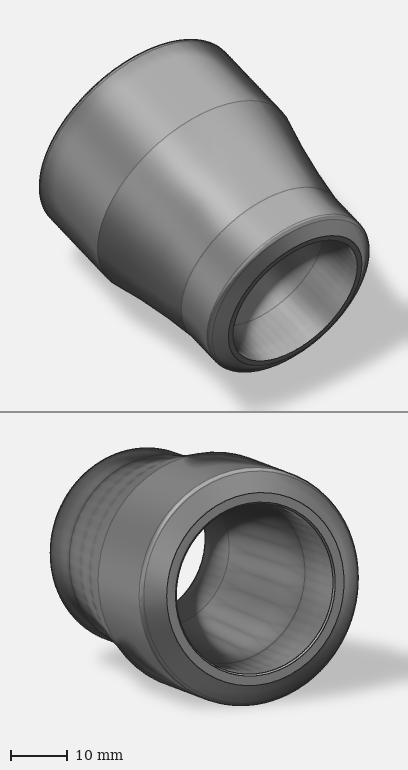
import cadquery as cq
import math

total_length = 50.0
wide_length = 20.0
narrow_length = 10.0
wide_outer_radius = 42.4 / 2
narrow_outer_radius = 35.0 / 2
wide_bore_radius = 30.4 / 2
narrow_bore_radius = 27.0 / 2
wide_bore_depth = 12.0
mouth_chamfer = 0.3

wide_land = 2.0
narrow_land = 1.0
bevel_angle = 30.0
bevel_edge_radius = 1.0

taper_sag = 0.4

taper_end = total_length - narrow_length
taper_middle = (wide_length + taper_end) / 2
taper_middle_radius = (wide_outer_radius + narrow_outer_radius) / 2 - taper_sag


def bevel_length(outer_radius, bore_radius, land):
    """Axial length of an end bevel before its outer edge is rounded."""
    return (outer_radius - bore_radius - land) * math.tan(math.radians(bevel_angle))


def make_blank():
    """Solid outer body with both end bevels."""
    wide_bevel = bevel_length(wide_outer_radius, wide_bore_radius, wide_land)
    narrow_bevel = bevel_length(narrow_outer_radius, narrow_bore_radius, narrow_land)
    blank = (
        cq.Workplane("XY")
        .lineTo(0, wide_bore_radius + wide_land)
        .lineTo(wide_bevel, wide_outer_radius)
        .lineTo(wide_length, wide_outer_radius)
        .threePointArc((taper_middle, taper_middle_radius), (taper_end, narrow_outer_radius))
        .lineTo(total_length - narrow_bevel, narrow_outer_radius)
        .lineTo(total_length, narrow_bore_radius + narrow_land)
        .lineTo(total_length, 0)
        .close()
        .revolve(360, (0, 0, 0), (1, 0, 0))
    )
    for edge_x in (wide_bevel, total_length - narrow_bevel):
        edge = cq.selectors.BoxSelector((edge_x - 0.5, -0.5, -0.5), (edge_x + 0.5, 0.5, 0.5))
        blank = blank.edges("%CIRCLE").edges(edge).fillet(bevel_edge_radius)
    return blank


def make_bore():
    """Stepless through bore: chamfered mouth, wide, conical, then narrow."""
    return (
        cq.Workplane("XY")
        .lineTo(0, wide_bore_radius + mouth_chamfer)
        .lineTo(mouth_chamfer, wide_bore_radius)
        .lineTo(wide_bore_depth, wide_bore_radius)
        .lineTo(taper_end, narrow_bore_radius)
        .lineTo(total_length, narrow_bore_radius)
        .lineTo(total_length, 0)
        .close()
        .revolve(360, (0, 0, 0), (1, 0, 0))
    )


result = make_blank().cut(make_bore())